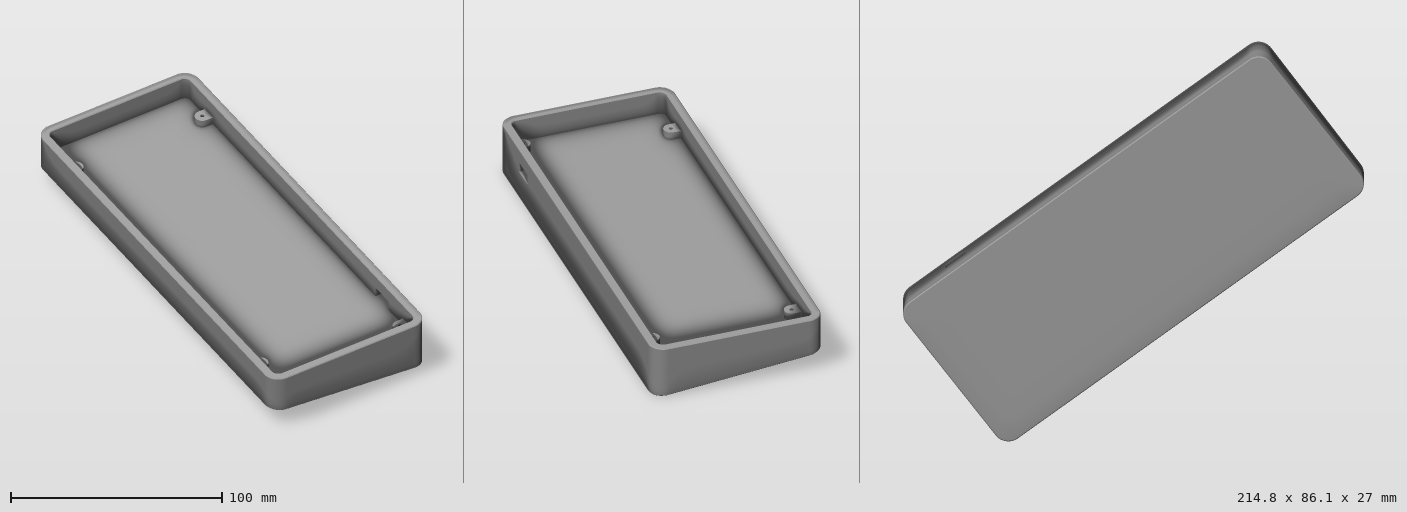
import cadquery as cq

length = 214.8
width = 86.1
back_height = 27.0
front_height = 19.3
corner_radius = 7.5
edge_chamfer = 0.5

wall = 4.3
cavity_depth = 12.5
cavity_radius = corner_radius - wall
floor_z = back_height - cavity_depth
cavity_half_width = width / 2 - wall

boss_radius = 3.7
boss_height = 4.0
boss_root_fillet = 0.9
boss_wall_distance = 3.7
boss_y = cavity_half_width - boss_wall_distance
left_boss_x = -83.3
back_right_boss_x = 95.2
front_right_boss_x = 83.3
screw_hole_diameter = 2.0

opening_x = 72.8
opening_width = 11.8
opening_height = 5.4


def make_body():
    """Rounded block cut to a wedge profile, with a chamfered bottom edge."""
    block = cq.Workplane("XY").box(length, width, back_height, centered=(True, True, False))
    block = block.edges("|Z").fillet(corner_radius)
    side_profile = [
        (-width / 2, back_height - front_height),
        (width / 2, 0),
        (width / 2, back_height),
        (-width / 2, back_height),
    ]
    wedge = cq.Workplane("YZ").polyline(side_profile).close().extrude(length / 2, both=True)
    body = block.intersect(wedge)
    return body.faces("<Z").chamfer(edge_chamfer)


def make_cavity():
    """Rounded pocket with a level floor, open at the top."""
    cavity = cq.Workplane("XY").workplane(offset=floor_z)
    cavity = cavity.rect(length - 2 * wall, width - 2 * wall).extrude(cavity_depth)
    return cavity.edges("|Z").fillet(cavity_radius)


def make_boss(x, side):
    """Round-nosed boss joined to the back wall (side = 1) or front wall (side = -1)."""
    y = side * boss_y
    base = cq.Workplane("XY").workplane(offset=floor_z)
    nose = base.center(x, y).circle(boss_radius).extrude(boss_height)
    web_y = y + side * boss_wall_distance / 2
    web = base.center(x, web_y).rect(2 * boss_radius, boss_wall_distance).extrude(boss_height)
    hole = base.center(x, y).circle(screw_hole_diameter / 2).extrude(boss_height)
    return nose.union(web).cut(hole)


def make_opening():
    """Rectangular opening level with the cavity floor."""
    opening = cq.Workplane("XY").box(opening_width, wall, opening_height, centered=(True, False, False))
    return opening.translate((opening_x, cavity_half_width, floor_z))


bosses = [
    (left_boss_x, 1),
    (back_right_boss_x, 1),
    (left_boss_x, -1),
    (front_right_boss_x, -1),
]

result = make_body().cut(make_cavity())
result = result.faces(">Z").chamfer(edge_chamfer)
for boss_x, wall_side in bosses:
    result = result.union(make_boss(boss_x, wall_side))
    root_y = wall_side * cavity_half_width
    root_z = floor_z + boss_height / 2
    for root_x in (boss_x - boss_radius, boss_x + boss_radius):
        root_edge = cq.selectors.NearestToPointSelector((root_x, root_y, root_z))
        result = result.edges(root_edge).fillet(boss_root_fillet)
result = result.cut(make_opening())